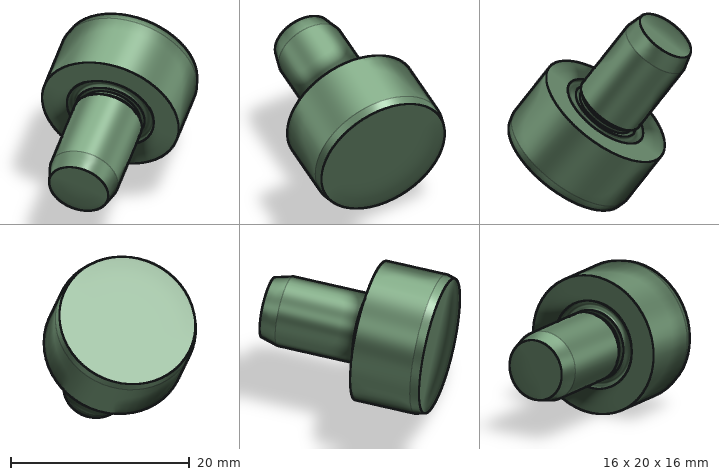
import cadquery as cq
import math

head_radius = 8.0
head_length = 8.0
pin_radius = 4.0
pin_length = 12.0

taper_angle = math.radians(15)
head_taper_length = 1.0
tip_length = 2.0
head_end_radius = head_radius - head_taper_length * math.tan(taper_angle)
tip_radius = pin_radius - tip_length * math.tan(taper_angle)

neck_radius = tip_radius
neck_length = 0.45
shoulder_length = pin_radius - neck_radius

groove_inner_radius = pin_radius
groove_outer_radius = 5.08
groove_depth = 0.5
groove_middle_radius = (groove_inner_radius + groove_outer_radius) / 2

profile = (
    cq.Workplane("XY")
    .moveTo(0, -pin_length)
    .lineTo(tip_radius, -pin_length)
    .lineTo(pin_radius, tip_length - pin_length)
    .lineTo(pin_radius, -neck_length - shoulder_length)
    .lineTo(neck_radius, -neck_length)
    .lineTo(neck_radius, 0)
    .lineTo(groove_inner_radius, 0)
    .threePointArc((groove_middle_radius, groove_depth), (groove_outer_radius, 0))
    .lineTo(head_radius, 0)
    .lineTo(head_radius, head_length - head_taper_length)
    .lineTo(head_end_radius, head_length)
    .lineTo(0, head_length)
    .close()
)

result = profile.revolve(360, (0, 0, 0), (0, 1, 0))